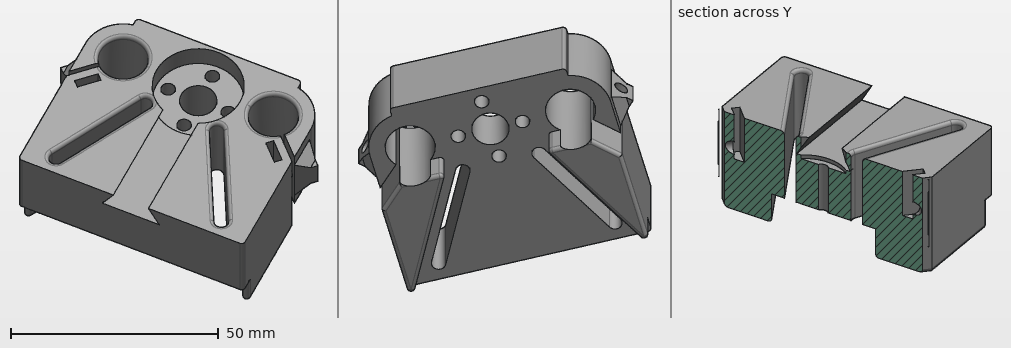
import cadquery as cq
import math


total_width = 68.5
total_depth = 50
half_width = 30.0
back_y = 11.9
front_y = back_y - total_depth
body_height = 19.0
back_half_width = 22.0
edge_radius = 0.95

bore_diameter = 12.05
bore_x = 20.0
shoulder_radius = half_width - bore_x
slit_width = 1.0
slit_angle = 225
diagonal = math.sqrt(0.5)
slit_edge_rise = slit_width / 2 / diagonal

pocket_diameter = 22.2
pocket_depth = 6.0
shaft_diameter = 9.0
flange_screw_diameter = 3.5
flange_screw_circle_radius = 8.0
flange_screw_count = 4

dovetail_depth = 5.0
dovetail_floor_width = 15.15
dovetail_flank_angle = 30

slot_width = 3.5
slot_back_end = (-9.5, -9.8)
slot_front_end = (-22.0, -33.6)
slot_run_x = slot_back_end[0] - slot_front_end[0]
slot_run_y = slot_back_end[1] - slot_front_end[1]
slot_run = math.hypot(slot_run_x, slot_run_y)

lug_tip_half_height = 3.2
lug_tip_flat = 1.3
clamp_screw_diameter = 3.5
clamp_screw_from_bore = 10.35
clamp_height = body_height / 2
nut_length = 6.0
nut_thickness = 2.0
nut_from_slit_axis = 3.55

leg_height = 8.0
leg_back_y = -4.65
leg_to_slot_axis = 5.0


def both_sides(left):
    """Join a left-hand shape with its mirror image on the right."""
    return left.union(left.mirror("YZ"))


def at_bore(shape):
    """Move a shape from a bore frame, whose X axis runs along the slit, to the left bore."""
    return shape.rotate((0, 0, 0), (0, 0, 1), slit_angle).translate((-bore_x, 0, 0))


def body_block():
    notch_y = math.sqrt(shoulder_radius**2 - (back_half_width - bore_x) ** 2)
    arc_x = bore_x + shoulder_radius * diagonal
    arc_y = shoulder_radius * diagonal
    return (
        cq.Workplane("XY")
        .moveTo(-half_width, front_y)
        .lineTo(half_width, front_y)
        .lineTo(half_width, 0)
        .threePointArc((arc_x, arc_y), (back_half_width, notch_y))
        .lineTo(back_half_width, back_y)
        .lineTo(-back_half_width, back_y)
        .lineTo(-back_half_width, notch_y)
        .threePointArc((-arc_x, arc_y), (-half_width, 0))
        .close()
        .extrude(body_height)
        .edges("|Z and (<Y or >Y)")
        .fillet(edge_radius)
    )


def slot_cutter():
    middle_x = (slot_back_end[0] + slot_front_end[0]) / 2
    middle_y = (slot_back_end[1] + slot_front_end[1]) / 2
    length = slot_run + slot_width
    return (
        cq.Workplane("XY")
        .center(middle_x, middle_y)
        .slot2D(length, slot_width, math.degrees(math.atan2(slot_run_y, slot_run_x)))
        .extrude(body_height)
    )


def bore_cutter():
    return (
        cq.Workplane("XY", origin=(-bore_x, 0, -leg_height))
        .circle(bore_diameter / 2)
        .extrude(leg_height + body_height)
    )


def slit_cutter():
    length = 2 * shoulder_radius
    slit = cq.Workplane("XY").box(length, slit_width, body_height, centered=(False, True, False))
    return at_bore(slit)


def lug():
    """Triangular lug whose front face is square to the slit, tapered in height towards its tip."""
    reach = total_width / 2 - half_width
    corner_y = bore_x - half_width + slit_edge_rise
    triangle = (
        cq.Workplane("XY")
        .moveTo(-half_width, corner_y)
        .lineTo(-half_width - reach, corner_y + reach)
        .lineTo(-half_width, corner_y + 2 * reach)
        .close()
        .extrude(body_height)
    )
    base_half_height = lug_tip_half_height + reach - lug_tip_flat
    taper_end_x = -half_width - reach + lug_tip_flat
    taper = (
        cq.Workplane("XZ", origin=(0, 0, clamp_height))
        .moveTo(-half_width, -base_half_height)
        .lineTo(taper_end_x, -lug_tip_half_height)
        .lineTo(-half_width - reach, -lug_tip_half_height)
        .lineTo(-half_width - reach, lug_tip_half_height)
        .lineTo(taper_end_x, lug_tip_half_height)
        .lineTo(-half_width, base_half_height)
        .close()
        .extrude(half_width, both=True)
    )
    return triangle.intersect(taper)


def clamp_screw_cutter():
    """Screw hole from outside the lug, across the slit and into the nut pocket."""
    hole = (
        cq.Workplane("XZ", origin=(clamp_screw_from_bore, nut_from_slit_axis, clamp_height))
        .circle(clamp_screw_diameter / 2)
        .extrude(nut_from_slit_axis + shoulder_radius)
    )
    return at_bore(hole)


def nut_pocket_cutter():
    floor_z = clamp_height - nut_length / 2
    pocket = (
        cq.Workplane("XY", origin=(clamp_screw_from_bore, nut_from_slit_axis, floor_z))
        .rect(nut_length, nut_thickness)
        .extrude(body_height)
    )
    return at_bore(pocket)


def leg():
    """Leg between the side wall, the slit, the bore and a face parallel to the slanted slot."""
    face_x = slot_front_end[0] - leg_to_slot_axis * slot_run / slot_run_y

    def slanted_face_x(y):
        return face_x + (y - slot_front_end[1]) * slot_run_x / slot_run_y

    slit_wall_offset = bore_x - slit_edge_rise
    tip_y = slot_front_end[1] - (half_width + face_x) * slot_run_y / slot_run_x
    block = (
        cq.Workplane("XY")
        .moveTo(-half_width, tip_y)
        .lineTo(slanted_face_x(leg_back_y), leg_back_y)
        .lineTo(leg_back_y - slit_wall_offset, leg_back_y)
        .lineTo(-half_width, slit_wall_offset - half_width)
        .close()
        .extrude(-leg_height)
        .edges("|Z and (<Y or >X)")
        .fillet(edge_radius)
    )
    return block.faces("<Z").edges().fillet(edge_radius).cut(bore_cutter())


def dovetail_cutter():
    floor_half = dovetail_floor_width / 2
    top_half = floor_half - dovetail_depth * math.tan(math.radians(dovetail_flank_angle))
    return (
        cq.Workplane("XZ", origin=(0, 0, body_height))
        .moveTo(-top_half, 0)
        .lineTo(-floor_half, -dovetail_depth)
        .lineTo(floor_half, -dovetail_depth)
        .lineTo(top_half, 0)
        .close()
        .extrude(-front_y)
    )


def flange_pocket_cutter():
    top = cq.Workplane("XY", origin=(0, 0, body_height))
    pocket = top.circle(pocket_diameter / 2).extrude(-pocket_depth)
    shaft = top.circle(shaft_diameter / 2).extrude(-body_height)
    screws = (
        top.polarArray(flange_screw_circle_radius, 0, 360, flange_screw_count)
        .circle(flange_screw_diameter / 2)
        .extrude(-body_height)
    )
    return pocket.union(shaft).union(screws)


def rim_fillet(block):
    """Round the upper rims of all openings in the top face."""
    rims = [edge for wire in block.faces(">Z").val().innerWires() for edge in wire.Edges()]
    return block.newObject(rims).fillet(edge_radius)


openings = both_sides(bore_cutter().union(slot_cutter()))
clamp_cuts = both_sides(slit_cutter().union(clamp_screw_cutter()).union(nut_pocket_cutter()))

body = rim_fillet(body_block().cut(openings))
result = (
    body.union(both_sides(lug()))
    .cut(clamp_cuts)
    .cut(flange_pocket_cutter())
    .cut(dovetail_cutter())
    .union(both_sides(leg()))
)